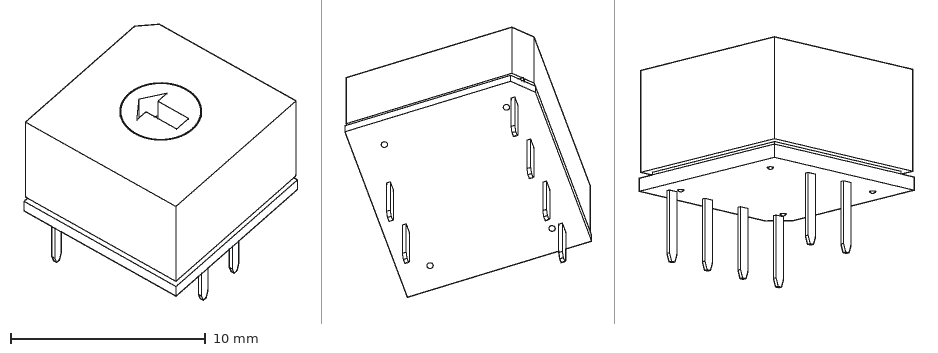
import cadquery as cq

pin_length = 3.75
base_height = 0.7
neck_height = 0.3
housing_height = 5.4

base_bottom = pin_length
neck_bottom = base_bottom + base_height
housing_bottom = neck_bottom + neck_height
housing_top = housing_bottom + housing_height

base_side = 10.0
base_corner_cut = 1.0
edge_inset = 0.05
housing_side = base_side - 2 * edge_inset
housing_corner_cut = base_corner_cut - 2 * edge_inset
neck_side = 9.04

rotor_diameter = 4.1
rotor_bore_diameter = 4.2
rotor_groove_depth = 0.51
arrow_length = 2.88
arrow_head_length = 0.86
arrow_head_width = 2.5
arrow_shaft_width = 0.98
arrow_depth = 1.5

pin_row_spacing = 7.61
pin_pitch = 2.54
left_pin_count = 4
right_pin_count = 2
pin_thickness = 0.2
pin_width = 0.55
pin_tip_width = 0.24
pin_taper_height = 0.43

bump_spacing_x = 6.62
bump_spacing_y = 7.31
bump_radius = 0.16
bump_height = 0.09


def square_layer(side, bottom, height):
    """Square block centred on the Z axis, standing on the given bottom height."""
    return cq.Workplane("XY", origin=(0, 0, bottom)).rect(side, side).extrude(height)


def cut_corner_layer(side, corner_cut, bottom, height):
    """Square layer with its (-X, +Y) vertical edge cut off."""
    return square_layer(side, bottom, height).edges("|Z and <X and >Y").chamfer(corner_cut)


def rotor_groove():
    return (
        cq.Workplane("XY", origin=(0, 0, housing_top))
        .circle(rotor_bore_diameter / 2)
        .circle(rotor_diameter / 2)
        .extrude(-rotor_groove_depth)
    )


def arrow_slot():
    """Arrow centred on the rotor and pointing to -X."""
    tip_x = -arrow_length / 2
    shoulder_x = tip_x + arrow_head_length
    tail_x = arrow_length / 2
    half_head = arrow_head_width / 2
    half_shaft = arrow_shaft_width / 2
    outline = [
        (tip_x, 0),
        (shoulder_x, half_head),
        (shoulder_x, half_shaft),
        (tail_x, half_shaft),
        (tail_x, -half_shaft),
        (shoulder_x, -half_shaft),
        (shoulder_x, -half_head),
    ]
    return cq.Workplane("XY", origin=(0, 0, housing_top)).polyline(outline).close().extrude(-arrow_depth)


def pin():
    """One pin with a tapered tip, centred on the Z axis."""
    half_width = pin_width / 2
    half_tip = pin_tip_width / 2
    outline = [
        (-half_tip, 0),
        (half_tip, 0),
        (half_width, pin_taper_height),
        (half_width, base_bottom),
        (-half_width, base_bottom),
        (-half_width, pin_taper_height),
    ]
    return cq.Workplane("YZ").polyline(outline).close().extrude(pin_thickness / 2, both=True)


def bump():
    """Spherical cap below the base, centred on the Z axis."""
    sphere_radius = (bump_radius**2 + bump_height**2) / (2 * bump_height)
    sphere_center = base_bottom - bump_height + sphere_radius
    ball = cq.Workplane("XY").sphere(sphere_radius).translate((0, 0, sphere_center))
    return ball.intersect(square_layer(base_side, 0, base_bottom))


housing = cut_corner_layer(housing_side, housing_corner_cut, housing_bottom, housing_height)
housing = housing.cut(rotor_groove()).cut(arrow_slot())

result = cut_corner_layer(base_side, base_corner_cut, base_bottom, base_height)
result = result.union(square_layer(neck_side, neck_bottom, neck_height)).union(housing)

for side, pin_count in ((-1, left_pin_count), (1, right_pin_count)):
    for index in range(pin_count):
        pin_y = (index - (pin_count - 1) / 2) * pin_pitch
        result = result.union(pin().translate((side * pin_row_spacing / 2, pin_y, 0)))

for x_side in (-1, 1):
    for y_side in (-1, 1):
        bump_place = (x_side * bump_spacing_x / 2, y_side * bump_spacing_y / 2, 0)
        result = result.union(bump().translate(bump_place))